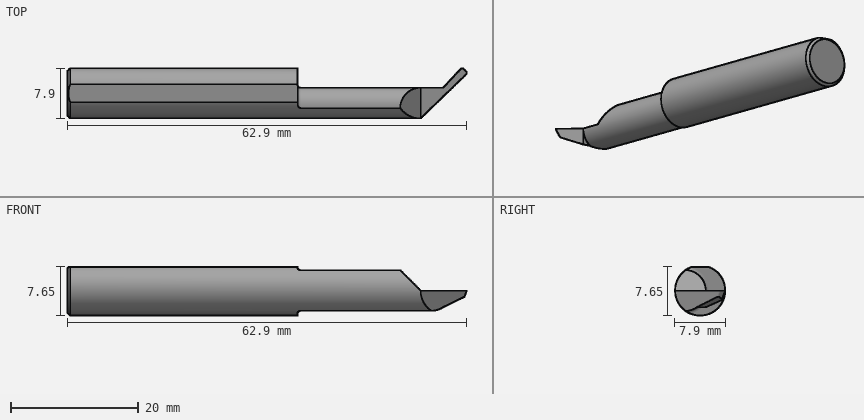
import cadquery as cq
import math

total_length = 62.9
shank_radius = 3.95
shank_length = 36.25
shank_flat_height = 3.7
shank_chamfer = 0.45

neck_radius = 3.2
neck_axis_y = -2.3
neck_side_y = neck_axis_y + neck_radius
shoulder_fillet = 0.5

rake_start_x = 55.6

arm_angle = math.radians(45)
side_relief = math.radians(2)
tip_width = 1.25
tip_corner_radius = 0.3
end_relief = math.radians(28)
underside_start_z = -2.65
underside_slope = math.radians(26)

corner_spacing = (tip_width - 2 * tip_corner_radius) * math.cos(arm_angle)
lower_arc_x = total_length - tip_corner_radius
upper_arc_y = shank_radius - tip_corner_radius
tip_mid_x = lower_arc_x - corner_spacing / 2 + tip_corner_radius * math.cos(arm_angle)
tip_mid_y = upper_arc_y - corner_spacing / 2 + tip_corner_radius * math.sin(arm_angle)
half_end_x = tip_width / 2 * math.sin(arm_angle)
half_end_y = tip_width / 2 * math.cos(arm_angle)
lower_corner = (tip_mid_x + half_end_x, tip_mid_y - half_end_y)
upper_corner = (tip_mid_x - half_end_x, tip_mid_y + half_end_y)
arm_root_x = upper_corner[0] - (upper_corner[1] - neck_side_y) / math.tan(arm_angle + side_relief)
heel = (rake_start_x, -shank_radius)


def diagonal_y(x):
    """Y of the straight flank from the heel to the tip, at a given X."""
    slope = (lower_corner[1] - heel[1]) / (lower_corner[0] - heel[0])
    return heel[1] + slope * (x - heel[0])


def make_shank():
    shank = cq.Workplane("YZ").circle(shank_radius).extrude(shank_length)
    shank = shank.faces("<X").chamfer(shank_chamfer)
    above_flat = cq.Workplane("XY", origin=(0, 0, shank_flat_height)).box(
        shank_length, 2 * shank_radius, shank_radius, centered=(False, True, False)
    )
    return shank.cut(above_flat)


def make_neck():
    fillet_mid = shoulder_fillet * (1 - math.sqrt(0.5))
    profile = (
        cq.Workplane("XY")
        .moveTo(shank_length, neck_axis_y)
        .lineTo(shank_length, neck_side_y + shoulder_fillet)
        .threePointArc(
            (shank_length + fillet_mid, neck_side_y + fillet_mid),
            (shank_length + shoulder_fillet, neck_side_y),
        )
        .lineTo(total_length, neck_side_y)
        .lineTo(total_length, neck_axis_y)
        .close()
    )
    offset_bar = profile.revolve(360, (0, neck_axis_y, 0), (1, neck_axis_y, 0))
    envelope = cq.Workplane("YZ").circle(shank_radius).extrude(total_length)
    plan = (
        cq.Workplane("XY", origin=(0, 0, -shank_radius))
        .polyline([
            (shank_length, -shank_radius),
            heel,
            lower_corner,
            (lower_corner[0], shank_radius),
            (shank_length, shank_radius),
        ])
        .close()
        .extrude(2 * shank_radius)
    )
    above_rake = (
        cq.Workplane("XZ")
        .polyline([
            (rake_start_x - 2 * neck_radius, 2 * neck_radius),
            (rake_start_x, 0),
            (total_length, 0),
            (total_length, 2 * neck_radius),
        ])
        .close()
        .extrude(shank_radius, both=True)
    )
    return offset_bar.intersect(envelope).intersect(plan).cut(above_rake)


def make_arm():
    outline = cq.Wire.makePolygon(
        [
            cq.Vector(arm_root_x, diagonal_y(arm_root_x), 0),
            cq.Vector(*lower_corner, 0),
            cq.Vector(*upper_corner, 0),
            cq.Vector(arm_root_x, neck_side_y, 0),
        ],
        close=True,
    )
    tip_corners = [v for v in outline.Vertices() if v.X > (arm_root_x + total_length) / 2]
    outline = outline.fillet2D(tip_corner_radius, tip_corners)

    depth = -underside_start_z
    setback = depth * math.tan(end_relief)
    lean = cq.Vector(-setback * math.cos(arm_angle), -setback * math.sin(arm_angle), -depth)
    leaning_blade = cq.Workplane(cq.Solid.extrudeLinear(outline, [], lean))
    upright_blade = cq.Workplane(cq.Solid.extrudeLinear(outline, [], cq.Vector(0, 0, -depth)))
    blade = upright_blade.intersect(leaning_blade)

    underside_end_z = underside_start_z + (total_length - arm_root_x) * math.tan(underside_slope)
    side_profile = (
        cq.Workplane("XZ")
        .polyline([
            (arm_root_x, 0),
            (arm_root_x, underside_start_z),
            (total_length, underside_end_z),
            (total_length, 0),
        ])
        .close()
        .extrude(shank_radius, both=True)
    )
    return blade.intersect(side_profile)


result = make_shank().union(make_neck()).union(make_arm()).clean()